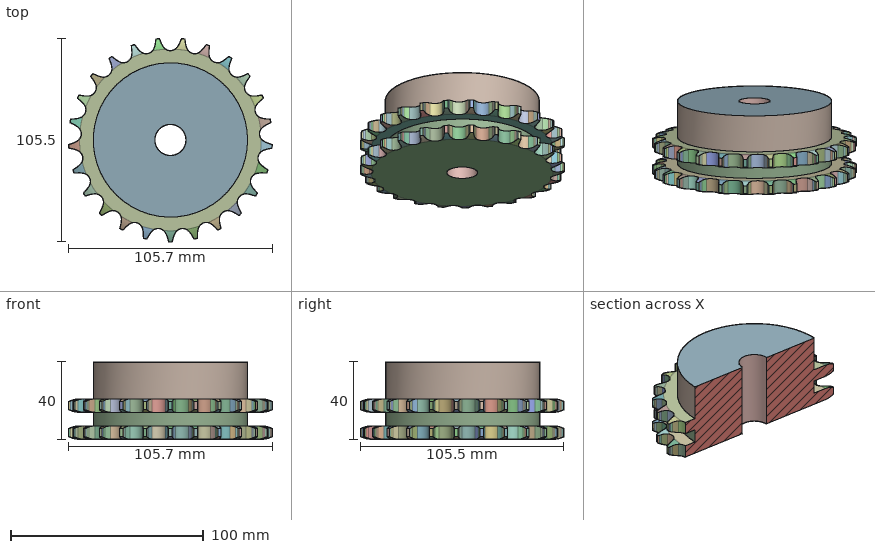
import cadquery as cq
import math

tooth_count = 25
chain_pitch = 12.7
roller_diameter = 8.51
strand_pitch = 14.0
tooth_width = 7.0
strand_count = 2
tip_diameter = 105.8
hub_diameter = 80.0
total_height = 40.0
bore_diameter = 16.0

tooth_angle = 360 / tooth_count
tip_radius = tip_diameter / 2
pitch_radius = chain_pitch / 2 / math.sin(math.pi / tooth_count)

seat_clearance = 0.038
seat_radius = 0.5025 * roller_diameter + seat_clearance
working_centre_distance = 0.8 * roller_diameter
topping_centre_distance = 1.4 * roller_diameter
working_radius = seat_radius + working_centre_distance
seat_end_angle = math.radians(35 + 60 / tooth_count)
working_angle = math.radians(18 - 56 / tooth_count)

side_relief_start = 47.1
side_relief_radius = chain_pitch

gap_top_half_width = chain_pitch / 2


def polar(centre, radius, angle):
    """Point at a radius and angle around a centre."""
    return (centre[0] + radius * math.cos(angle), centre[1] + radius * math.sin(angle))


def gap_outline():
    """Closed profile of one tooth gap, symmetric about +Y."""
    roller_centre = (0, pitch_radius)
    seat_bottom = (0, pitch_radius - seat_radius)

    working_centre = polar(roller_centre, working_centre_distance, math.pi - seat_end_angle)
    working_end_angle = working_angle - seat_end_angle
    seat_end = polar(working_centre, working_radius, -seat_end_angle)
    working_middle = polar(working_centre, working_radius, working_angle / 2 - seat_end_angle)
    working_end = polar(working_centre, working_radius, working_end_angle)

    topping_centre = polar(roller_centre, topping_centre_distance, -math.pi / tooth_count)
    topping_radius = (
        (topping_centre[0] - working_end[0]) * math.cos(working_end_angle)
        + (topping_centre[1] - working_end[1]) * math.sin(working_end_angle)
    )
    topping_start_angle = working_end_angle + math.pi
    topping_end_angle = math.acos((gap_top_half_width - topping_centre[0]) / topping_radius)
    topping_start = polar(topping_centre, topping_radius, topping_start_angle)
    topping_middle_angle = (topping_start_angle + topping_end_angle) / 2
    topping_middle = polar(topping_centre, topping_radius, topping_middle_angle)
    topping_end = polar(topping_centre, topping_radius, topping_end_angle)

    def mirrored(point):
        return (-point[0], point[1])

    return (
        cq.Workplane("XY")
        .moveTo(*mirrored(seat_end))
        .threePointArc(seat_bottom, seat_end)
        .threePointArc(working_middle, working_end)
        .lineTo(*topping_start)
        .threePointArc(topping_middle, topping_end)
        .lineTo(*mirrored(topping_end))
        .threePointArc(mirrored(topping_middle), mirrored(topping_start))
        .lineTo(*mirrored(working_end))
        .threePointArc(mirrored(working_middle), mirrored(seat_end))
        .close()
    )


def tooth_blank():
    """Disc whose rim narrows towards the tips along tangent arcs on both faces."""
    def relief_depth(radius):
        run = radius - side_relief_start
        return side_relief_radius - math.sqrt(side_relief_radius**2 - run**2)

    middle_radius = (side_relief_start + tip_radius) / 2
    middle_depth = relief_depth(middle_radius)
    tip_depth = relief_depth(tip_radius)
    return (
        cq.Workplane("XZ")
        .moveTo(0, 0)
        .lineTo(side_relief_start, 0)
        .threePointArc((middle_radius, middle_depth), (tip_radius, tip_depth))
        .lineTo(tip_radius, tooth_width - tip_depth)
        .threePointArc((middle_radius, tooth_width - middle_depth), (side_relief_start, tooth_width))
        .lineTo(0, tooth_width)
        .close()
        .revolve(360, (0, 0, 0), (0, 1, 0))
    )


def toothed_disc():
    """One tooth row resting on Z = 0, with a gap centred on +Y and a tooth on -Y."""
    gap = gap_outline().extrude(tooth_width).val()
    gaps = []
    for index in range(tooth_count):
        gaps.append(gap.rotate((0, 0, 0), (0, 0, 1), index * tooth_angle))
    return tooth_blank().cut(cq.Workplane(cq.Compound.makeCompound(gaps)))


def sprocket():
    """Hub with the tooth rows joined on and the bore cut through."""
    body = cq.Workplane("XY").circle(hub_diameter / 2).extrude(total_height)
    disc = toothed_disc()
    for row in range(strand_count):
        body = body.union(disc.translate((0, 0, row * strand_pitch)))
    bore = cq.Workplane("XY").circle(bore_diameter / 2).extrude(total_height)
    return body.cut(bore)


result = sprocket()